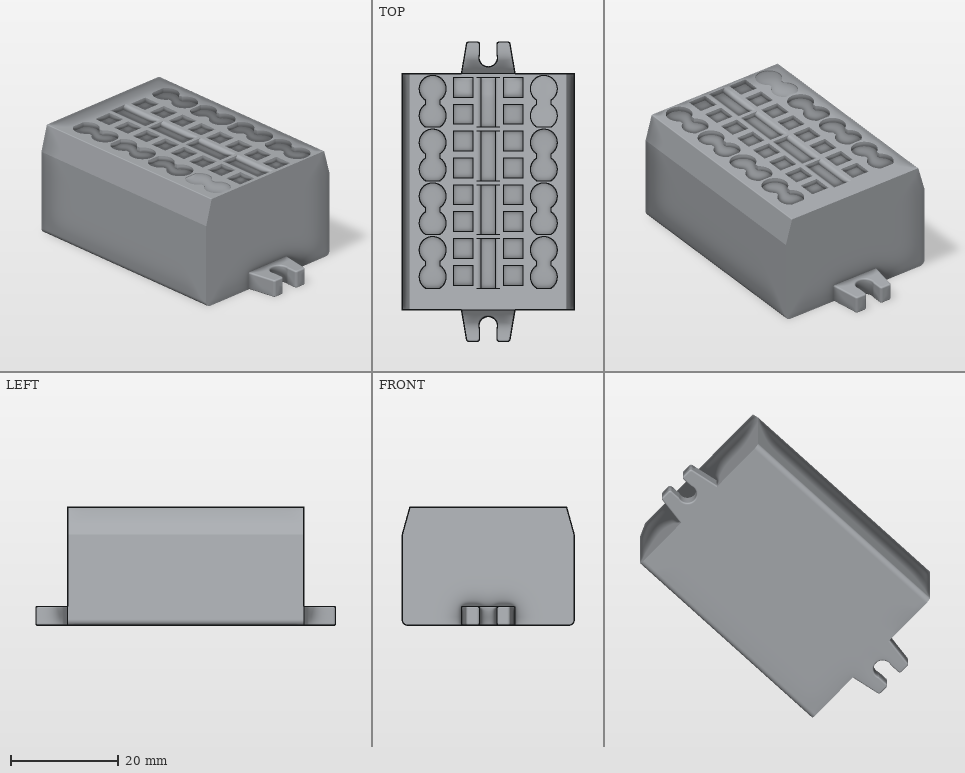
import cadquery as cq
import math

BODY_WIDTH = 32.05
BODY_LENGTH = 44.0
BODY_HEIGHT = 22.0
TOP_WIDTH = 29.2
SHOULDER_HEIGHT = 16.85
BOTTOM_EDGE_RADIUS = 1.0
TOP_EDGE_RADIUS = 0.2

LUG_REACH = 5.9
LUG_HEIGHT = 3.5
LUG_ROOT_WIDTH = 10.0
LUG_TIP_WIDTH = 8.0
LUG_SLOT_WIDTH = 3.2
LUG_SEAT_DIAMETER = 3.4
LUG_SEAT_OFFSET = 2.95
LUG_CORNER_RADIUS = 0.5
LUG_EDGE_RADIUS = 0.3

ROW_COUNT = 4
ROW_PITCH = 10.0
FIRST_ROW_Y = 16.65
ROW_LENGTH = 9.25
POCKET_DEPTH = 1.0

SQUARE_SIZE = 3.7
SQUARE_PITCH = 5.0
SQUARE_X = 4.65

GROOVE_WIDTH = 4.2
GROOVE_LIP_RADIUS = 0.75

ENTRY_X = 10.35
ENTRY_RADIUS = 2.5
ENTRY_NECK_WIDTH = 2.7
ENTRY_PITCH = 5.0
SHALLOW_ENTRY_DEPTH = 0.2

SIDES = (-1, 1)
row_centres = [FIRST_ROW_Y - row * ROW_PITCH for row in range(ROW_COUNT)]


def make_body():
    """Housing block with sloped shoulders along both long sides."""
    half_width = BODY_WIDTH / 2
    half_top = TOP_WIDTH / 2
    body = (
        cq.Workplane("XZ")
        .polyline(
            [
                (-half_width, 0),
                (half_width, 0),
                (half_width, SHOULDER_HEIGHT),
                (half_top, BODY_HEIGHT),
                (-half_top, BODY_HEIGHT),
                (-half_width, SHOULDER_HEIGHT),
            ]
        )
        .close()
        .extrude(BODY_LENGTH / 2, both=True)
    )
    body = body.faces("<Z").edges("|Y").fillet(BOTTOM_EDGE_RADIUS)
    return body.faces(">Z").edges("|Y").fillet(TOP_EDGE_RADIUS)


def make_lug():
    """Slotted lug on the +Y end wall."""
    root_y = BODY_LENGTH / 2
    tip_y = root_y + LUG_REACH
    seat_radius = LUG_SEAT_DIAMETER / 2
    seat_y = root_y + LUG_SEAT_OFFSET
    half_root = LUG_ROOT_WIDTH / 2
    half_tip = LUG_TIP_WIDTH / 2
    half_slot = LUG_SLOT_WIDTH / 2
    seat_top_y = seat_y + math.sqrt(seat_radius**2 - half_slot**2)
    lug = (
        cq.Workplane("XY")
        .moveTo(-half_root, root_y)
        .lineTo(-half_tip, tip_y)
        .lineTo(-half_slot, tip_y)
        .lineTo(-half_slot, seat_top_y)
        .threePointArc((0, seat_y - seat_radius), (half_slot, seat_top_y))
        .lineTo(half_slot, tip_y)
        .lineTo(half_tip, tip_y)
        .lineTo(half_root, root_y)
        .close()
        .extrude(LUG_HEIGHT)
    )
    lug = lug.faces(">Y").edges("|Z").fillet(LUG_CORNER_RADIUS)
    clear_of_wall = cq.selectors.BoxSelector(
        (-half_root, root_y + LUG_EDGE_RADIUS, -LUG_EDGE_RADIUS),
        (half_root, tip_y + LUG_EDGE_RADIUS, LUG_HEIGHT + LUG_EDGE_RADIUS),
    )
    return lug.faces("<Z or >Z").edges(clear_of_wall).fillet(LUG_EDGE_RADIUS)


def make_square_pockets():
    """Pairs of pockets whose upper ones end level with the +Y end of their row."""
    first_offset = (ROW_LENGTH - SQUARE_SIZE) / 2
    centres = [
        (side * SQUARE_X, row_y + offset)
        for row_y in row_centres
        for side in SIDES
        for offset in (first_offset, first_offset - SQUARE_PITCH)
    ]
    return (
        cq.Workplane("XY", origin=(0, 0, BODY_HEIGHT - POCKET_DEPTH))
        .pushPoints(centres)
        .rect(SQUARE_SIZE, SQUARE_SIZE)
        .extrude(POCKET_DEPTH)
    )


def make_groove(row_y):
    """Groove whose two long edges roll over into the top face."""
    half_width = GROOVE_WIDTH / 2
    half_floor = half_width - GROOVE_LIP_RADIUS
    lip_z = BODY_HEIGHT - GROOVE_LIP_RADIUS
    bulge = GROOVE_LIP_RADIUS * math.sin(math.pi / 4)
    return (
        cq.Workplane("XZ", origin=(0, row_y, 0))
        .moveTo(-half_floor, BODY_HEIGHT - POCKET_DEPTH)
        .lineTo(half_floor, BODY_HEIGHT - POCKET_DEPTH)
        .lineTo(half_floor, lip_z)
        .threePointArc((half_width - bulge, lip_z + bulge), (half_width, BODY_HEIGHT))
        .lineTo(-half_width, BODY_HEIGHT)
        .threePointArc((bulge - half_width, lip_z + bulge), (-half_floor, lip_z))
        .close()
        .extrude(ROW_LENGTH / 2, both=True)
    )


def make_entry(x, row_y, depth):
    """Two round openings joined by a straight neck, cut off flat where the neck ends at -Y."""
    floor = cq.Workplane("XY", origin=(x, row_y, BODY_HEIGHT - depth))
    neck = floor.rect(ENTRY_NECK_WIDTH, ROW_LENGTH).extrude(depth)
    lobes = (
        floor.pushPoints([(0, side * ENTRY_PITCH / 2) for side in SIDES])
        .circle(ENTRY_RADIUS)
        .extrude(depth)
    )
    beyond_neck = (
        floor.center(0, -ROW_LENGTH / 2 - ENTRY_RADIUS)
        .rect(2 * ENTRY_RADIUS, 2 * ENTRY_RADIUS)
        .extrude(depth)
    )
    return lobes.cut(beyond_neck).union(neck)


lug = make_lug()
result = make_body().union(lug).union(lug.mirror("XZ"))
result = result.cut(make_square_pockets())
for row_index, row_y in enumerate(row_centres):
    result = result.cut(make_groove(row_y))
    for side in SIDES:
        is_shallow = row_index == 0 and side > 0
        depth = SHALLOW_ENTRY_DEPTH if is_shallow else POCKET_DEPTH
        result = result.cut(make_entry(side * ENTRY_X, row_y, depth))